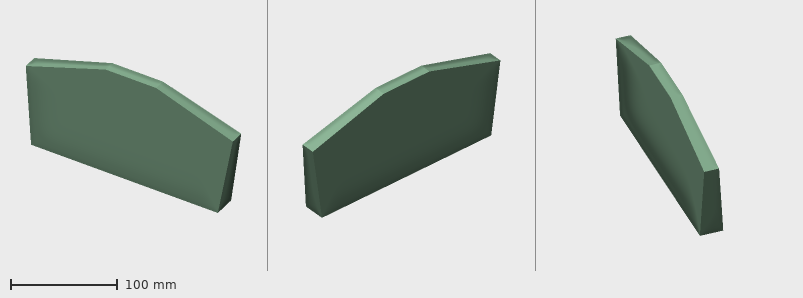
import cadquery as cq

width = 228.6
base_thickness = 23.5
height = 108.8

base_width = 206.2
crown_width = 55.8
shoulder_height = 81.6

top_thickness = 12.1


def outline_plate():
    """Six-sided plate, symmetric about X = 0, with its flat back at Y = 0."""
    outline = [
        (-base_width / 2, 0),
        (base_width / 2, 0),
        (width / 2, shoulder_height),
        (crown_width / 2, height),
        (-crown_width / 2, height),
        (-width / 2, shoulder_height),
    ]
    return cq.Workplane("XZ").polyline(outline).close().extrude(base_thickness)


def taper_wedge():
    """Side profile that thins toward the top, spanning the full width."""
    profile = [
        (0, 0),
        (-base_thickness, 0),
        (-top_thickness, height),
        (0, height),
    ]
    return cq.Workplane("YZ").polyline(profile).close().extrude(width / 2, both=True)


result = outline_plate().intersect(taper_wedge())